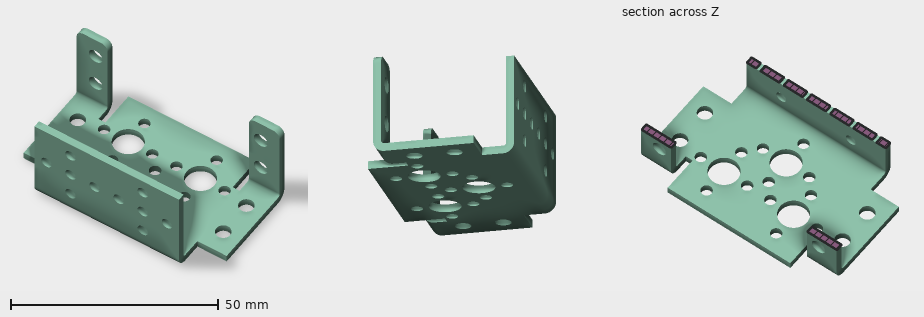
import cadquery as cq

thickness = 2.0
bend_inner_radius = 0.75
bend_outer_radius = bend_inner_radius + thickness
height = 25.0

wing_span = 59.0
flange_width = 42.0
tongue_width = 37.0
wing_front = 8.0
slot_front = 27.0
slot_width = 2.0
tongue_back = 37.0
tab_back = 33.0

tab_inner_edge = tongue_width / 2 + slot_width
tab_width = wing_span / 2 - tab_inner_edge
tab_centre = tab_inner_edge + tab_width / 2
tab_corner_radius = 2.0

small_hole = 3.0
mount_hole = 4.0
bore = 8.0

screw_offset = 7.0
pair_spacing = 10.0
bore_half_spacing = 10.5
rear_bore_y = 25.0
front_bore_y = 14.0
wing_hole_x = 24.5
wing_hole_y = 14.0
tab_hole_x = 24.0
tab_hole_z = 9.0
flange_pattern_z = (height + bend_outer_radius) / 2


def centred_plate(width, y_start, y_end):
    """Flat base area, symmetric about X = 0 and resting on Z = 0."""
    return cq.Workplane("XY").box(
        width, y_end - y_start, thickness, centered=(True, False, False)
    ).translate((0, y_start, 0))


def bent_flange(width):
    """Quarter bend and upright wall, centred on X = 0; outer face at Y = 0."""
    bend = (
        cq.Workplane("YZ")
        .moveTo(bend_outer_radius, 0)
        .radiusArc((0, bend_outer_radius), bend_outer_radius)
        .lineTo(thickness, bend_outer_radius)
        .radiusArc((bend_outer_radius, thickness), -bend_inner_radius)
        .close()
        .extrude(width)
    )
    upright = cq.Workplane("XY").box(
        width, thickness, height - bend_outer_radius, centered=False
    ).translate((0, 0, bend_outer_radius))
    return bend.union(upright).translate((-width / 2, 0, 0))


def vertical_holes(points, diameter):
    """Cutters through the base plate at (x, y) points."""
    return cq.Workplane("XY").pushPoints(points).circle(diameter / 2).extrude(thickness)


def wall_holes(points, diameter, y_start, y_end):
    """Cutters along Y at (x, z) points."""
    return (
        cq.Workplane("XZ", origin=(0, y_end, 0))
        .pushPoints(points)
        .circle(diameter / 2)
        .extrude(y_end - y_start)
    )


def screw_cross(x, y):
    """Four points around a centre, one on each side."""
    return [
        (x - screw_offset, y),
        (x + screw_offset, y),
        (x, y - screw_offset),
        (x, y + screw_offset),
    ]


def make_base():
    """Flat plate with wings, tongue, tab roots and all its holes."""
    front = centred_plate(flange_width, bend_outer_radius, wing_front)
    wings = centred_plate(wing_span, wing_front, slot_front)
    tongue = centred_plate(tongue_width, slot_front, tongue_back)
    base = front.union(wings).union(tongue)
    for side in (-1, 1):
        root = centred_plate(tab_width, slot_front, tab_back - bend_outer_radius)
        base = base.union(root.translate((side * tab_centre, 0, 0)))

    bore_centres = [
        (-bore_half_spacing, rear_bore_y),
        (bore_half_spacing, rear_bore_y),
        (0, front_bore_y),
    ]
    base = base.cut(vertical_holes(bore_centres, bore))
    for x, y in bore_centres:
        base = base.cut(vertical_holes(screw_cross(x, y), small_hole))

    wing_points = [
        (side * wing_hole_x, wing_hole_y + step * pair_spacing)
        for side in (-1, 1)
        for step in (0, 1)
    ]
    return base.cut(vertical_holes(wing_points, mount_hole))


def make_front_flange():
    """Front wall with two five-hole screw patterns."""
    flange = bent_flange(flange_width)
    for side in (-1, 1):
        centre = (side * bore_half_spacing, flange_pattern_z)
        points = screw_cross(*centre) + [centre]
        flange = flange.cut(wall_holes(points, small_hole, 0, thickness))
    return flange


def make_tab(side):
    """Rear tab with rounded top corners and two mounting holes; side is -1 or 1."""
    tab = bent_flange(tab_width)
    tab = tab.edges("|Y and >Z").fillet(tab_corner_radius)
    tab = tab.mirror("XZ").translate((side * tab_centre, tab_back, 0))
    points = [(side * tab_hole_x, tab_hole_z + step * pair_spacing) for step in (0, 1)]
    return tab.cut(wall_holes(points, mount_hole, tab_back - thickness, tab_back))


result = make_base().union(make_front_flange())
for tab_side in (-1, 1):
    result = result.union(make_tab(tab_side))